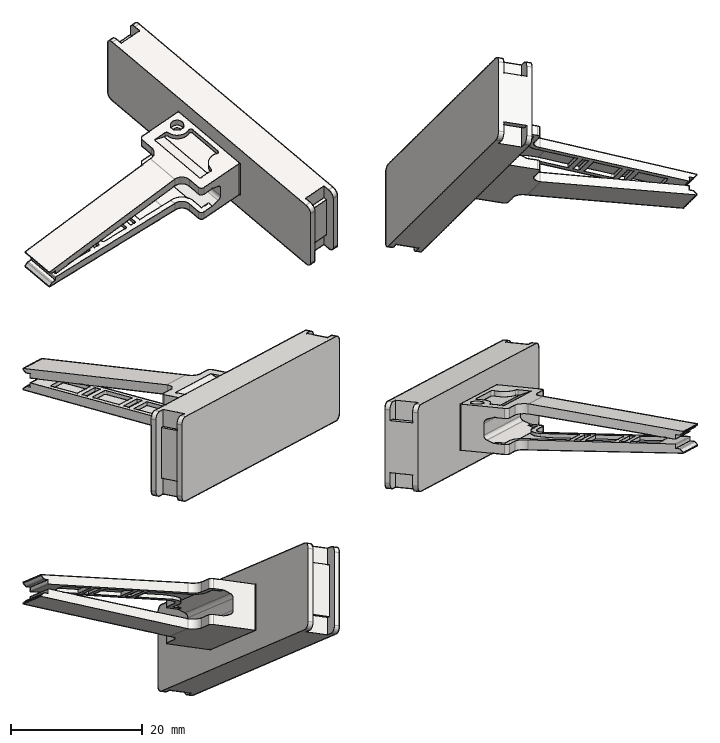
import cadquery as cq

PLATE_LENGTH = 46.2
PLATE_HEIGHT = 13.6
PLATE_DEPTH = 5.5
PLATE_CORNER_RADIUS = 1.05
FLANGE_THICKNESS = 0.9
NOTCH_INNER_X = 20.97
NOTCH_HEIGHT = 2.73
LIP_THICKNESS = 1.05
LIP_STEP = 1.15
END_SLOT_X = 21.55

CLIP_LENGTH = 35.1
CLIP_HALF_HEIGHT = 3.6
BLOCK_HALF_WIDTH = 6.98
BLOCK_LENGTH = 7.9
BLOCK_CORNER_RADIUS = 0.55
BLOCK_FOOT_CHAMFER = 0.15
NECK_RADIUS = 1.52
ARM_HALF_WIDTH = 2.75
NECK_END_Y = -(BLOCK_LENGTH + NECK_RADIUS)
BEND_Y = -9.5

TIP_OUTER_Z = 1.7
TIP_EDGE_HEIGHT = 0.15
TIP_INNER_Z = 0.35
TIP_STEP_Y = -33.85
TIP_STEP_Z = 1.05
TIP_BEVEL_Y = -34.55
TIP_STEP_ROUND = 0.1
TIP_BEVEL_ROUND = 0.3

GAP_START_Y = -3.95
GAP_HALF_HEIGHT = 2.05
GAP_RAMP_END_Y = -5.6
GAP_RAMP_SLOPE = 0.35
GAP_ROUND = 0.75

RECESS_INSET = 0.9
RECESS_FLOOR_Z = 2.55
RECESS_BEND_Y = -11.0
RECESS_FIRST_END_Y = -15.9
RECESS_END_RADIUS = 0.32
RIB_THICKNESS = 0.85
RIB_GAP = 0.95
RIB_PAIR_PITCH = 7.45
RIBS_PER_PAIR = 2
RIB_PAIRS = 2

HOLE_X = -5.1
HOLE_Y = -2.0
HOLE_RADIUS = 1.0
HOLE_DEPTH = 1.15
PIN_HOLE_RADIUS = 0.5
PIN_HOLE_DEPTH = 2.05
HOLE_WALL_RADIUS = 2.05
POCKET_BACK_Y = -0.85
POCKET_RAMP_START_Y = -4.55
POCKET_FRONT_Y = -6.5
POCKET_DEPTH = 0.85
POCKET_HALF_WIDTH = 5.17
POCKET_CORNER_RADIUS = 0.32

ARM_INNER_SLOPE = (GAP_HALF_HEIGHT - TIP_INNER_Z) / (BEND_Y - TIP_STEP_Y)


def box(x_min, x_max, y_min, y_max, z_min, z_max):
    size = (x_max - x_min, y_max - y_min, z_max - z_min)
    return cq.Workplane("XY").box(*size, centered=False).translate((x_min, y_min, z_min))


def side_profile(points, half_width):
    """Prism along X, centred on X = 0, from (y, z) points."""
    return cq.Workplane("YZ").polyline(points).close().extrude(half_width, both=True)


def mirrored_z(solid):
    return solid.union(solid.mirror("XY"))


def make_plate():
    """Plate with notched corners: stepped behind a lip at the -X end, joined by a slot at the +X end."""
    half_length = PLATE_LENGTH / 2
    half_height = PLATE_HEIGHT / 2
    groove_back = PLATE_DEPTH - FLANGE_THICKNESS
    floor_z = half_height - NOTCH_HEIGHT
    plate = box(-half_length, half_length, 0, PLATE_DEPTH, -half_height, half_height)
    plate = plate.edges("|Y").fillet(PLATE_CORNER_RADIUS)

    notch = box(NOTCH_INNER_X, half_length, FLANGE_THICKNESS, groove_back, floor_z, half_height)
    notches = mirrored_z(notch)
    notches = notches.union(notches.mirror("YZ"))
    lip_inner_x = half_length - LIP_THICKNESS
    step = box(-lip_inner_x, -NOTCH_INNER_X, FLANGE_THICKNESS, groove_back, floor_z - LIP_STEP, floor_z)
    end_slot = box(END_SLOT_X, half_length, FLANGE_THICKNESS, groove_back, -half_height, half_height)
    return plate.cut(notches).cut(mirrored_z(step)).cut(end_slot)


def clip_plan(inset, length):
    """Prism of the block and arms in plan, drawn in by an inset on the sides and the block's front."""
    block_x = BLOCK_HALF_WIDTH - inset
    block_y = -(BLOCK_LENGTH - inset)
    arm_x = ARM_HALF_WIDTH - inset
    neck_x = ARM_HALF_WIDTH + NECK_RADIUS
    half_plan = (
        cq.Workplane("XY", origin=(0, 0, -CLIP_HALF_HEIGHT))
        .lineTo(block_x, 0)
        .lineTo(block_x, block_y)
        .lineTo(neck_x, block_y)
        .tangentArcPoint((arm_x, NECK_END_Y), relative=False)
        .lineTo(arm_x, -length)
        .lineTo(0, -length)
    )
    return half_plan.mirrorY().extrude(2 * CLIP_HALF_HEIGHT)


def make_side_shape():
    """Clip seen along X: tapered outside, with the gap and the stepped tips taken out."""
    outside = side_profile(
        [
            (0, CLIP_HALF_HEIGHT),
            (BEND_Y, CLIP_HALF_HEIGHT),
            (-CLIP_LENGTH, TIP_OUTER_Z),
            (-CLIP_LENGTH, -TIP_OUTER_Z),
            (BEND_Y, -CLIP_HALF_HEIGHT),
            (0, -CLIP_HALF_HEIGHT),
        ],
        BLOCK_HALF_WIDTH,
    )
    ramp_start_z = GAP_HALF_HEIGHT - GAP_RAMP_SLOPE * (GAP_START_Y - GAP_RAMP_END_Y)
    upper_gap = [
        (GAP_START_Y, ramp_start_z),
        (GAP_RAMP_END_Y, GAP_HALF_HEIGHT),
        (BEND_Y, GAP_HALF_HEIGHT),
        (TIP_STEP_Y, TIP_INNER_Z),
        (TIP_STEP_Y, TIP_STEP_Z),
        (TIP_BEVEL_Y, TIP_STEP_Z),
        (-CLIP_LENGTH, TIP_OUTER_Z - TIP_EDGE_HEIGHT),
    ]
    lower_gap = [(y, -z) for y, z in reversed(upper_gap)]
    gap = side_profile(upper_gap + lower_gap, BLOCK_HALF_WIDTH)
    gap = gap.edges("|X and >Y").fillet(GAP_ROUND)
    for y, z, radius in (
        (TIP_STEP_Y, TIP_INNER_Z, TIP_STEP_ROUND),
        (TIP_BEVEL_Y, TIP_STEP_Z, TIP_BEVEL_ROUND),
    ):
        for side in (-1, 1):
            corner = cq.NearestToPointSelector((0, y, side * z))
            gap = gap.edges("|X").edges(corner).fillet(radius)
    return outside.cut(gap)


def make_arm_recess():
    """Recess of the upper arm: it carries on the gap's ramp, then follows the arm, crossed by ribs."""
    last_end_y = RECESS_FIRST_END_Y - RIB_PAIRS * RIB_PAIR_PITCH
    floor_start_y = GAP_RAMP_END_Y - (RECESS_FLOOR_Z - GAP_HALF_HEIGHT) / GAP_RAMP_SLOPE
    end_floor_z = RECESS_FLOOR_Z - ARM_INNER_SLOPE * (RECESS_BEND_Y - last_end_y)
    profile = side_profile(
        [
            (GAP_RAMP_END_Y, 0),
            (GAP_RAMP_END_Y, GAP_HALF_HEIGHT),
            (floor_start_y, RECESS_FLOOR_Z),
            (RECESS_BEND_Y, RECESS_FLOOR_Z),
            (last_end_y, end_floor_z),
            (last_end_y, 0),
        ],
        BLOCK_HALF_WIDTH,
    )
    plan = clip_plan(RECESS_INSET, -last_end_y)
    plan = plan.edges("|Z and <Y").fillet(RECESS_END_RADIUS)
    for pair in range(RIB_PAIRS):
        for rib in range(RIBS_PER_PAIR):
            back_y = RECESS_FIRST_END_Y - pair * RIB_PAIR_PITCH - rib * (RIB_THICKNESS + RIB_GAP)
            rib_block = box(
                -ARM_HALF_WIDTH, ARM_HALF_WIDTH,
                back_y - RIB_THICKNESS, back_y,
                -CLIP_HALF_HEIGHT, CLIP_HALF_HEIGHT,
            )
            plan = plan.cut(rib_block)
    for pair in range(1, RIB_PAIRS):
        end_y = RECESS_FIRST_END_Y - pair * RIB_PAIR_PITCH
        end_corners = cq.selectors.BoxSelector(
            (-ARM_HALF_WIDTH, end_y - RECESS_END_RADIUS, -CLIP_HALF_HEIGHT),
            (ARM_HALF_WIDTH, end_y + RECESS_END_RADIUS, CLIP_HALF_HEIGHT),
        )
        plan = plan.edges("|Z").edges(end_corners).fillet(RECESS_END_RADIUS)
    return profile.intersect(plan)


def make_top_pocket():
    """Pocket whose sides curve around the hole (and its mirror image), with a ramp up to the front."""
    floor_z = CLIP_HALF_HEIGHT - POCKET_DEPTH
    pocket = box(
        -POCKET_HALF_WIDTH, POCKET_HALF_WIDTH,
        POCKET_FRONT_Y, POCKET_BACK_Y,
        floor_z, CLIP_HALF_HEIGHT,
    )
    walls = (
        cq.Workplane("XY")
        .pushPoints([(HOLE_X, HOLE_Y), (-HOLE_X, HOLE_Y)])
        .circle(HOLE_WALL_RADIUS)
        .extrude(CLIP_HALF_HEIGHT)
    )
    pocket = pocket.cut(walls)
    behind_ramp = cq.selectors.BoxSelector(
        (-BLOCK_HALF_WIDTH, POCKET_RAMP_START_Y, 0), (BLOCK_HALF_WIDTH, 0, CLIP_HALF_HEIGHT)
    )
    pocket = pocket.edges("|Z").edges(behind_ramp).fillet(POCKET_CORNER_RADIUS)
    ramp = side_profile(
        [(POCKET_RAMP_START_Y, floor_z), (POCKET_FRONT_Y, floor_z), (POCKET_FRONT_Y, CLIP_HALF_HEIGHT)],
        BLOCK_HALF_WIDTH,
    )
    return pocket.cut(ramp)


def make_hole():
    """Blind hole with a narrower pin hole in its floor."""
    top = cq.Workplane("XY", origin=(HOLE_X, HOLE_Y, CLIP_HALF_HEIGHT))
    wide = top.circle(HOLE_RADIUS).extrude(-HOLE_DEPTH)
    return wide.union(top.circle(PIN_HOLE_RADIUS).extrude(-PIN_HOLE_DEPTH))


def make_foot():
    """Small sloped foot where the two sides of the block meet the plate."""
    reach = BLOCK_HALF_WIDTH + BLOCK_FOOT_CHAMFER
    points = [
        (-reach, 0),
        (reach, 0),
        (BLOCK_HALF_WIDTH, -BLOCK_FOOT_CHAMFER),
        (-BLOCK_HALF_WIDTH, -BLOCK_FOOT_CHAMFER),
    ]
    return cq.Workplane("XY").polyline(points).close().extrude(CLIP_HALF_HEIGHT, both=True)


def make_clip():
    clip = clip_plan(0, CLIP_LENGTH)
    clip = clip.edges("|Z and (<X or >X)").edges("<Y").fillet(BLOCK_CORNER_RADIUS)
    clip = clip.intersect(make_side_shape())
    arm_recess = make_arm_recess()
    clip = clip.cut(arm_recess).cut(arm_recess.mirror("XY"))
    return clip.cut(make_top_pocket()).cut(make_hole())


result = make_plate().union(make_clip()).union(make_foot())